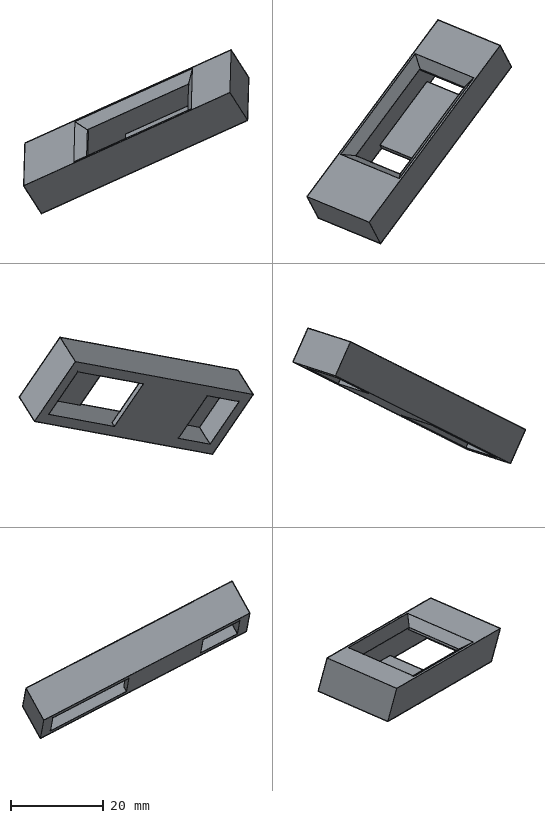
import cadquery as cq

width = 17.5
length = 50.9
thickness = 8.1

tilt = 28.5
yaw = -16.9

side_margin = 0.5
far_margin = 9.55
window_length = 29.0
bevel = 2.0
lip_thickness = 0.5

end_wall = 2.35

plate_thickness = 1.25
plate_far_offset = 11.45
plate_length = 18.3

top = thickness / 2
bottom = -thickness / 2
far_end = length / 2

rim_width = width - 2 * side_margin
throat_width = rim_width - 2 * bevel
throat_length = window_length - 2 * bevel
window_center = far_end - far_margin - window_length / 2
cavity_length = length - 2 * end_wall
cavity_depth = thickness - bevel - lip_thickness


def upright_box(size_x, size_y, height, center_y, base_z):
    """Box centered across the width, standing on the level base_z."""
    return (
        cq.Workplane("XY")
        .box(size_x, size_y, height, centered=(True, True, False))
        .translate((0, center_y, base_z))
    )


def beveled_window():
    """Funnel from the top face to the throat, and the throat down to the cavity."""
    funnel = (
        cq.Workplane("XY", origin=(0, window_center, top))
        .rect(rim_width, window_length)
        .workplane(offset=-bevel)
        .rect(throat_width, throat_length)
        .loft(ruled=True)
    )
    throat_height = bevel + lip_thickness
    throat = upright_box(throat_width, throat_length, throat_height, window_center, top - throat_height)
    return funnel.union(throat)


block = upright_box(width, length, thickness, 0, bottom)
cavity = upright_box(throat_width, cavity_length, cavity_depth, 0, bottom)
plate_center = far_end - plate_far_offset - plate_length / 2
plate = upright_box(throat_width, plate_length, plate_thickness, plate_center, bottom)

level_part = block.cut(beveled_window()).cut(cavity).union(plate)

result = level_part.rotate((0, 0, 0), (1, 0, 0), tilt).rotate((0, 0, 0), (0, 0, 1), yaw)